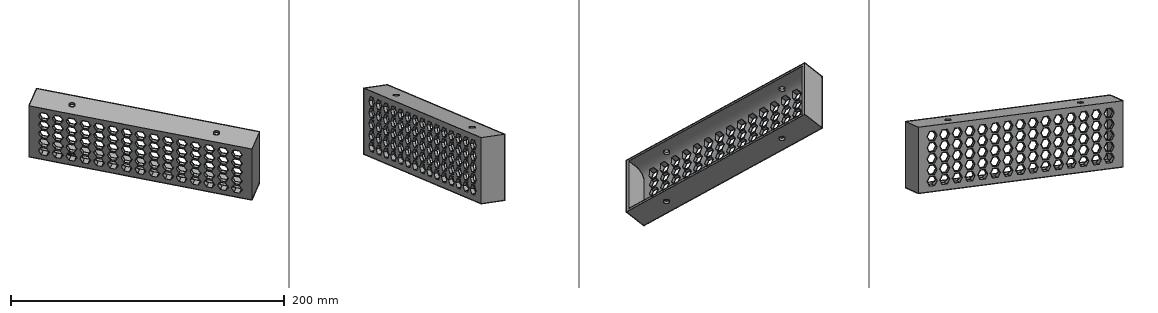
import cadquery as cq
length = 170.0
depth = 20.0
height = 50.0

front_wall = 2.5
end_wall = 2.5
top_wall = 2.0
bottom_wall = 2.0
corner_radius = 8.5

columns = 15
rows = 5
column_span = 146.9
row_pitch = 8.5
hex_across_corners = 8.2

screw_diameter = 4.6
screw_spacing = 110.0


def outer_box():
    return cq.Workplane("XY").box(length, depth, height)


def interior():
    """Cavity behind the front wall, rounded along its two long front edges."""
    return (
        cq.Workplane("XY")
        .box(length - 2 * end_wall, depth, height - top_wall - bottom_wall)
        .edges("|X and <Y")
        .fillet(corner_radius)
        .translate((0, front_wall, (bottom_wall - top_wall) / 2))
    )


def vent_grid():
    """Hexagonal prisms along Y, with corners pointing along X."""
    column_pitch = column_span / (columns - 1)
    return (
        cq.Workplane("XZ")
        .rarray(column_pitch, row_pitch, columns, rows)
        .polygon(6, hex_across_corners)
        .extrude(depth, both=True)
    )


def screw_holes():
    return (
        cq.Workplane("XY")
        .rarray(screw_spacing, 1.7, 2, 1)
        .circle(screw_diameter / 2)
        .extrude(height, both=True)
    )


result = outer_box().cut(interior()).cut(vent_grid()).cut(screw_holes())